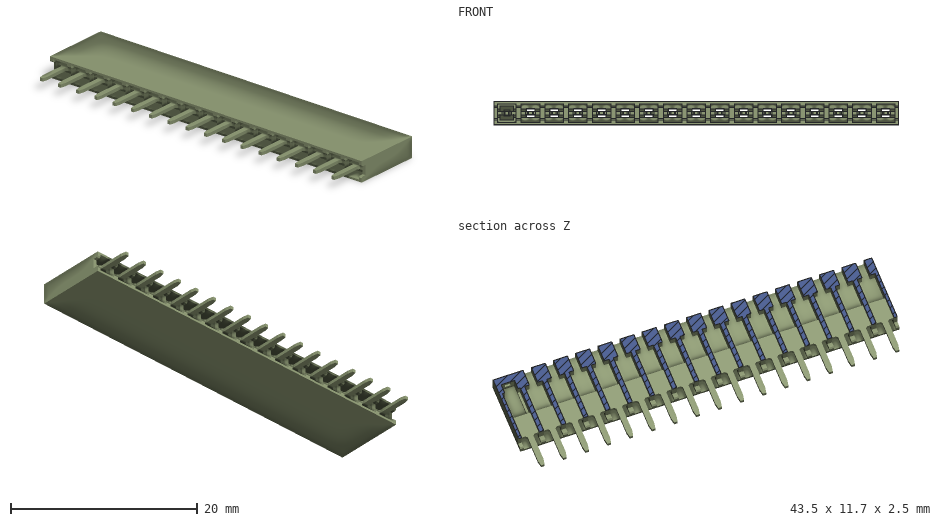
import cadquery as cq

HOUSING_LENGTH = 43.45
HOUSING_DEPTH = 8.5
HOUSING_HEIGHT = 2.5
PIN_COUNT = 17
END_MARGIN = 1.4
PITCH = (HOUSING_LENGTH - 2 * END_MARGIN) / (PIN_COUNT - 1)

GROOVE_HEIGHT = 1.17
GROOVE_DEPTH = 0.65
GROOVE_CHAMFER = 0.15

CELL_SIZE = 2.0
CELL_DEPTH = 1.75
SLOT_HEIGHT = 0.9
SLOT_DEPTH = 4.78
MATING_HOLE_SIZE = 0.9

BLIND_POCKET_SIZE = 1.48
BLIND_POCKET_DEPTH = 1.1
BLIND_HOLE_SIZE = 0.65
BLIND_HOLE_DEPTH = 0.2

CONTACT_THICKNESS = 0.4
PLATE_RECESS = 0.8
PLATE_DEPTH = 2.6
TAIL_WIDTH = 0.65
TAIL_PROJECTION = 3.15
TIP_WIDTH = 0.4
TIP_LENGTH = 0.65
ROOT_WIDTH = 1.05
ROOT_LENGTH = 0.17

tail_face_y = TAIL_PROJECTION
cell_floor_y = tail_face_y + CELL_DEPTH
slot_floor_y = cell_floor_y + SLOT_DEPTH
mating_face_y = tail_face_y + HOUSING_DEPTH
plate_front_y = tail_face_y + PLATE_RECESS
root_start_y = plate_front_y - ROOT_LENGTH


def block(width, height, y_start, y_end, x=0.0):
    """Box centred on the given X and on Z = 0, spanning y_start to y_end."""
    depth = y_end - y_start
    return cq.Workplane("XY").box(width, depth, height).translate((x, y_start + depth / 2, 0))


def groove():
    """Full-length groove with a chamfered mouth."""
    half_height = GROOVE_HEIGHT / 2
    half_mouth = half_height + GROOVE_CHAMFER
    chamfer_y = tail_face_y + GROOVE_CHAMFER
    floor_y = tail_face_y + GROOVE_DEPTH
    profile = [
        (tail_face_y, -half_mouth),
        (chamfer_y, -half_height),
        (floor_y, -half_height),
        (floor_y, half_height),
        (chamfer_y, half_height),
        (tail_face_y, half_mouth),
    ]
    return cq.Workplane("YZ").polyline(profile).close().extrude(HOUSING_LENGTH / 2, both=True)


def contact_cavity(x):
    """Square cell followed by the flat slot behind it."""
    cell = block(CELL_SIZE, CELL_SIZE, tail_face_y, cell_floor_y, x)
    slot = block(CELL_SIZE, SLOT_HEIGHT, tail_face_y, slot_floor_y, x)
    return cell.union(slot)


def open_cavity(x):
    """Cavity whose slot continues as a mating hole through the +Y face."""
    mating_hole = block(MATING_HOLE_SIZE, MATING_HOLE_SIZE, cell_floor_y, mating_face_y, x)
    return contact_cavity(x).union(mating_hole)


def blind_cavity(x):
    """Closed cavity with a square pocket and a blind hole behind its slot."""
    pocket_floor_y = slot_floor_y + BLIND_POCKET_DEPTH
    hole_floor_y = pocket_floor_y + BLIND_HOLE_DEPTH
    pocket = block(BLIND_POCKET_SIZE, BLIND_POCKET_SIZE, cell_floor_y, pocket_floor_y, x)
    hole = block(BLIND_HOLE_SIZE, BLIND_HOLE_SIZE, pocket_floor_y, hole_floor_y, x)
    return contact_cavity(x).union(pocket).union(hole)


def contact(x):
    """Contact plate with its flared and tapered tail."""
    plate = block(CELL_SIZE, CONTACT_THICKNESS, plate_front_y, plate_front_y + PLATE_DEPTH, x)
    tail_outline = [
        (x - TIP_WIDTH / 2, 0),
        (x + TIP_WIDTH / 2, 0),
        (x + TAIL_WIDTH / 2, TIP_LENGTH),
        (x + TAIL_WIDTH / 2, root_start_y),
        (x + ROOT_WIDTH / 2, plate_front_y),
        (x - ROOT_WIDTH / 2, plate_front_y),
        (x - TAIL_WIDTH / 2, root_start_y),
        (x - TAIL_WIDTH / 2, TIP_LENGTH),
    ]
    tail = cq.Workplane("XY").polyline(tail_outline).close().extrude(CONTACT_THICKNESS / 2, both=True)
    return plate.union(tail)


pin_positions = [(i - (PIN_COUNT - 1) / 2) * PITCH for i in range(PIN_COUNT)]

result = block(HOUSING_LENGTH, HOUSING_HEIGHT, tail_face_y, mating_face_y).cut(groove())
result = result.cut(blind_cavity(pin_positions[0]))
for pin_x in pin_positions[1:]:
    result = result.cut(open_cavity(pin_x))
for pin_x in pin_positions:
    result = result.union(contact(pin_x))